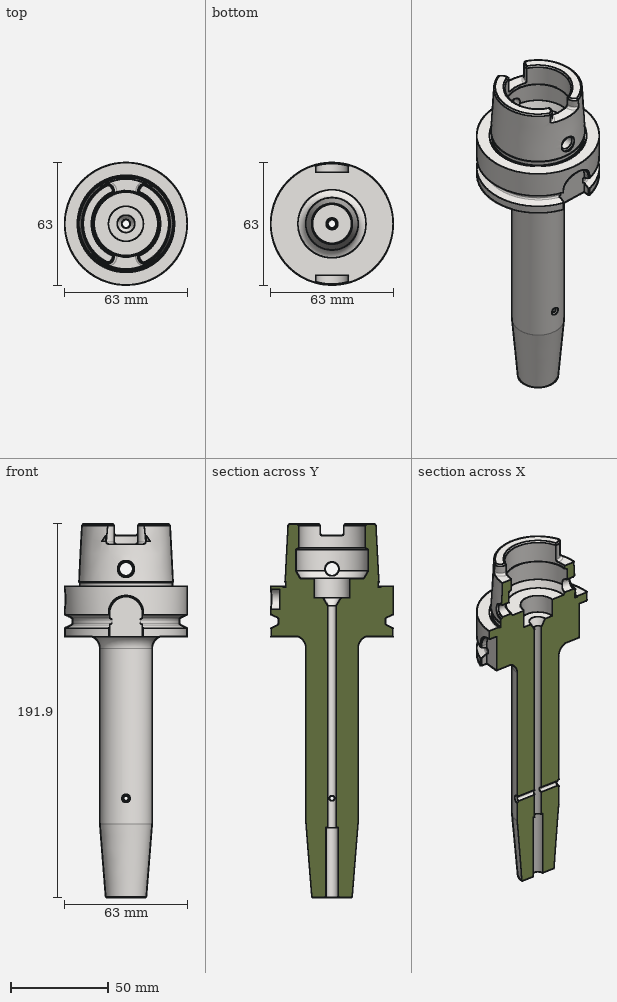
import cadquery as cq
import math

top_z = 31.9
bottom_z = -160.0
flange_bottom_z = -26.0

flange_radius = 31.5
gripper_radius = 27.5
gripper_floor_fillet = 1.0
gripper_mid_z = -18.1
gripper_outer_width = 6.9
gripper_floor_width = 3.1

taper_gauge_radius = 24.0
taper_gauge_z = 6.3
taper_base_z = 2.3
taper_ratio = 9.98
rim_chamfer = 0.8
relief_inner_radius = 23.9
relief_neck_chamfer = 0.5
relief_outer_radius = 25.0
relief_depth = 0.5

shank_radius = 13.5
neck_radius = 6.5
neck_start_z = -32.0
nose_top_z = -122.0
nose_angle = 4.5
nose_chamfer = 0.5

mouth_radius = 17.0
undercut_radius = 18.5
undercut_lip_z = 19.6
undercut_angle = 30.0
bore_floor_radius = 16.3
bore_floor_z = 4.0
floor_cone_angle = 30.0
tube_thread_radius = 9.0
tube_thread_depth = 10.0
funnel_radius = 4.5
funnel_tip_radius = 2.1
funnel_depth = 4.0
tool_bore_radius = 3.0
tool_bore_depth = 36.0

slot_width = 12.0
slot_corner_radius = 4.3
slot_shoulder_y = 20.8
slot_floor_fillet = 1.2
front_slot_z = 21.5
rear_slot_z = 26.0
relief_top_z = 26.6
relief_foot_z = 23.0
relief_foot_y = 19.5
relief_length = 4.0

access_hole_diameter = 7.0
access_sink_diameter = 8.6
access_hole_z = 8.8
vent_diameter = 2.5
vent_sink_diameter = 4.2
vent_z = -109.0
chip_hole_diameter = 10.0
chip_hole_depth = 4.6
chip_hole_z = -6.8

keyway_width = 16.8
keyway_chamfer = 0.6
keyway_floor_y = 26.5
keyway_top_z = -5.4


def taper_radius(z):
    """Radius of the clamping taper at height z."""
    return taper_gauge_radius - (z - taper_gauge_z) / (2 * taper_ratio)


def outer_body():
    """Turned outside: taper, flange, neck, shank and nose, all solid."""
    nose_radius = shank_radius - (nose_top_z - bottom_z) * math.tan(math.radians(nose_angle))
    neck_height = flange_bottom_z - neck_start_z
    neck_run = neck_radius - math.sqrt(neck_radius**2 - neck_height**2)
    half_rise = neck_height / 2
    half_run = neck_radius - math.sqrt(neck_radius**2 - half_rise**2)
    return (
        cq.Workplane("XZ")
        .moveTo(0, top_z)
        .lineTo(taper_radius(top_z) - rim_chamfer, top_z)
        .lineTo(taper_radius(top_z), top_z - rim_chamfer)
        .lineTo(taper_radius(taper_base_z), taper_base_z)
        .lineTo(relief_inner_radius, taper_base_z - relief_neck_chamfer)
        .lineTo(relief_inner_radius, -relief_depth)
        .lineTo(relief_outer_radius, -relief_depth)
        .lineTo(relief_outer_radius, 0)
        .lineTo(flange_radius, 0)
        .lineTo(flange_radius, flange_bottom_z)
        .lineTo(shank_radius + neck_run, flange_bottom_z)
        .threePointArc((shank_radius + half_run, neck_start_z + half_rise), (shank_radius, neck_start_z))
        .lineTo(shank_radius, nose_top_z)
        .lineTo(nose_radius, bottom_z + nose_chamfer)
        .lineTo(nose_radius - nose_chamfer, bottom_z)
        .lineTo(0, bottom_z)
        .close()
        .revolve(360, (0, 0, 0), (0, 1, 0))
    )


def gripper_groove():
    """V-sided groove ring with a filleted cylindrical floor."""
    half_outer = gripper_outer_width / 2
    half_floor = gripper_floor_width / 2
    ring = (
        cq.Workplane("XZ")
        .moveTo(gripper_radius, gripper_mid_z + half_floor)
        .lineTo(flange_radius, gripper_mid_z + half_outer)
        .lineTo(flange_radius, gripper_mid_z - half_outer)
        .lineTo(gripper_radius, gripper_mid_z - half_floor)
        .close()
        .revolve(360, (0, 0, 0), (0, 1, 0))
    )
    return ring.edges(cq.selectors.RadiusNthSelector(0)).fillet(gripper_floor_fillet)


def inner_bores():
    """Clamping bore, coolant tube seat, coolant channel and tool bore as one turned shape."""
    thread_floor_z = bore_floor_z - tube_thread_depth
    funnel_tip_z = thread_floor_z - funnel_depth
    undercut_drop = (undercut_radius - mouth_radius) * math.tan(math.radians(undercut_angle))
    floor_cone_height = (undercut_radius - bore_floor_radius) / math.tan(math.radians(floor_cone_angle))
    tool_stop_z = bottom_z + tool_bore_depth
    return (
        cq.Workplane("XZ")
        .moveTo(0, top_z)
        .lineTo(mouth_radius + rim_chamfer, top_z)
        .lineTo(mouth_radius, top_z - rim_chamfer)
        .lineTo(mouth_radius, undercut_lip_z)
        .lineTo(undercut_radius, undercut_lip_z - undercut_drop)
        .lineTo(undercut_radius, bore_floor_z + floor_cone_height)
        .lineTo(bore_floor_radius, bore_floor_z)
        .lineTo(tube_thread_radius, bore_floor_z)
        .lineTo(tube_thread_radius, thread_floor_z)
        .lineTo(funnel_radius, thread_floor_z)
        .lineTo(funnel_tip_radius, funnel_tip_z)
        .lineTo(funnel_tip_radius, tool_stop_z)
        .lineTo(tool_bore_radius, tool_stop_z)
        .lineTo(tool_bore_radius, bottom_z)
        .lineTo(0, bottom_z)
        .close()
        .revolve(360, (0, 0, 0), (0, 1, 0))
    )


def slot_plan(side, z):
    """Slot outline: parallel walls that round outwards into shoulders facing the side."""
    half = slot_width / 2
    flare = half + slot_corner_radius
    start_y = slot_shoulder_y - slot_corner_radius
    arc_run = slot_corner_radius * math.sqrt(0.5)
    return (
        cq.Workplane("XY", origin=(0, 0, z))
        .moveTo(-half, 0)
        .lineTo(half, 0)
        .lineTo(half, side * start_y)
        .threePointArc((flare - arc_run, side * (start_y + arc_run)), (flare, side * slot_shoulder_y))
        .lineTo(flare + slot_corner_radius, side * slot_shoulder_y)
        .lineTo(flare + slot_corner_radius, side * flange_radius)
        .lineTo(-flare - slot_corner_radius, side * flange_radius)
        .lineTo(-flare - slot_corner_radius, side * slot_shoulder_y)
        .lineTo(-flare, side * slot_shoulder_y)
        .threePointArc((arc_run - flare, side * (start_y + arc_run)), (-half, side * start_y))
        .close()
    )


def drive_slot(side, floor_z):
    """Slot through one wall of the rim, with filleted floor and chamfered upper edges."""
    slot = slot_plan(side, floor_z).extrude(top_z - floor_z)
    slot = slot.faces("<Z").edges().fillet(slot_floor_fillet)
    rim_break = slot_plan(side, top_z - rim_chamfer).extrude(rim_chamfer, taper=-45)
    return slot.union(rim_break)


def front_slot_relief(side):
    """Sloped nick at the foot of the front slot, just outside one rounded corner."""
    nick_start_x = slot_width / 2 + slot_corner_radius
    return (
        cq.Workplane("YZ", origin=(side * nick_start_x, 0, 0))
        .moveTo(-slot_shoulder_y, relief_top_z)
        .lineTo(-relief_foot_y, relief_foot_z)
        .lineTo(-flange_radius, relief_foot_z)
        .lineTo(-flange_radius, relief_top_z)
        .close()
        .extrude(side * relief_length)
    )


def cross_hole(diameter, z):
    """Hole along Y through both walls at height z."""
    return (
        cq.Workplane("XZ", origin=(0, 0, z))
        .circle(diameter / 2)
        .extrude(flange_radius, both=True)
    )


def countersinks(hole_diameter, sink_diameter, z, surface_radius):
    """A 90 degree countersink on the front and rear ends of a cross hole."""
    sink_radius = sink_diameter / 2
    edge_y = math.sqrt(surface_radius**2 - sink_radius**2)
    bottom_y = edge_y - (sink_diameter - hole_diameter) / 2
    outside_y = flange_radius
    front_sink = (
        cq.Workplane("XY", origin=(0, 0, z))
        .moveTo(0, -bottom_y)
        .lineTo(hole_diameter / 2, -bottom_y)
        .lineTo(sink_radius, -edge_y)
        .lineTo(sink_radius, -outside_y)
        .lineTo(0, -outside_y)
        .close()
        .revolve(360, (0, 0, 0), (0, 1, 0))
    )
    return front_sink.union(front_sink.mirror("XZ"))


def chip_hole():
    """Blind data chip hole in the -X side of the flange."""
    return (
        cq.Workplane("YZ", origin=(-flange_radius, 0, chip_hole_z))
        .circle(chip_hole_diameter / 2)
        .extrude(chip_hole_depth)
    )


def cut_keyway(blank, side):
    """Round-headed keyway open to the flange bottom, chamfered where it meets the flange rim."""
    half = keyway_width / 2
    head_z = keyway_top_z - half
    cutter = (
        cq.Workplane("XZ", origin=(0, side * keyway_floor_y, 0))
        .moveTo(-half, flange_bottom_z)
        .lineTo(half, flange_bottom_z)
        .lineTo(half, head_z)
        .threePointArc((0, keyway_top_z), (-half, head_z))
        .close()
        .extrude(-side * flange_radius)
    )
    rim_y = (keyway_floor_y + flange_radius) / 2
    rim_edges = cq.selectors.BoxSelector(
        (-keyway_width, side * rim_y, flange_bottom_z + keyway_chamfer),
        (keyway_width, side * 2 * flange_radius, keyway_top_z / 2),
    )
    return blank.cut(cutter).edges(rim_edges).chamfer(keyway_chamfer)


body = outer_body()
for side in (-1, 1):
    body = cut_keyway(body, side)
body = body.cut(gripper_groove())
body = body.cut(inner_bores())

body = body.cut(drive_slot(-1, front_slot_z))
body = body.cut(drive_slot(1, rear_slot_z))
for side in (-1, 1):
    body = body.cut(front_slot_relief(side))

body = body.cut(cross_hole(access_hole_diameter, access_hole_z))
body = body.cut(
    countersinks(access_hole_diameter, access_sink_diameter, access_hole_z, taper_radius(access_hole_z))
)
body = body.cut(cross_hole(vent_diameter, vent_z))
body = body.cut(countersinks(vent_diameter, vent_sink_diameter, vent_z, shank_radius))
body = body.cut(chip_hole())

result = body